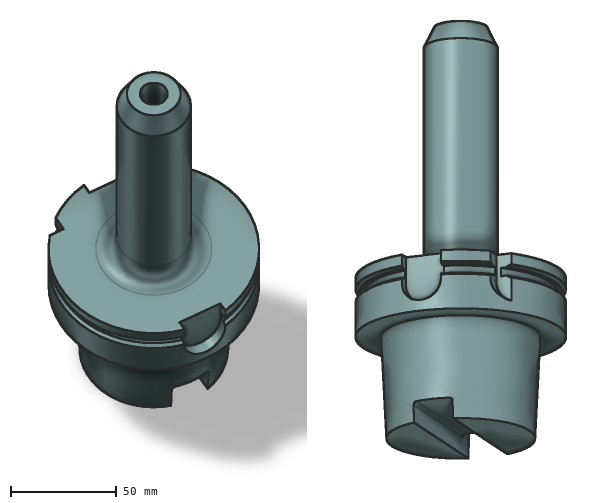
import cadquery as cq

TOTAL_HEIGHT = 202.5

SHANK_HEIGHT = 50.0
SHANK_TOP_RADIUS = 37.8
SHANK_TAPER = 0.05

FLANGE_RADIUS = 50.0
FLANGE_THICKNESS = 29.0
FLANGE_TOP = SHANK_HEIGHT + FLANGE_THICKNESS

GROOVE_RADIUS = 46.0
GROOVE_LOWER_EDGE = 67.0
GROOVE_UPPER_EDGE = 73.5
GROOVE_BEVEL_RADIUS = 48.0
GROOVE_BEVEL_HEIGHT = 1.2

NOSE_RADIUS = 17.6
NOSE_FILLET = 10.0
TIP_RADIUS = 12.8
TIP_HEIGHT = 10.0
BORE_RADIUS = 6.5
BORE_DEPTH = 40.5

RIM_SLOT_BOTTOM = 55.3
RIM_SLOT_FLOOR = 44.0
NARROW_SLOT_WIDTH = 20.0
WIDE_SLOT_WIDTH = 22.3
CORNER_NOTCH_OFFSET = 31.4

DRIVE_SLOT_WIDTH = 20.0
DRIVE_SLOT_DEPTH = 10.1
DEEP_SLOT_DEPTH = 15.5
DEEP_SLOT_FLOOR = 26.3
DRIVE_SLOT_FILLET = 1.8


def turned_body():
    """Shank, grooved flange and nose revolved about Z."""
    shank_bottom_radius = SHANK_TOP_RADIUS - SHANK_TAPER * SHANK_HEIGHT
    return (
        cq.Workplane("XZ")
        .lineTo(shank_bottom_radius, 0)
        .lineTo(SHANK_TOP_RADIUS, SHANK_HEIGHT)
        .lineTo(FLANGE_RADIUS, SHANK_HEIGHT)
        .lineTo(FLANGE_RADIUS, GROOVE_LOWER_EDGE)
        .lineTo(GROOVE_BEVEL_RADIUS, GROOVE_LOWER_EDGE + GROOVE_BEVEL_HEIGHT)
        .lineTo(GROOVE_RADIUS, GROOVE_LOWER_EDGE + GROOVE_BEVEL_HEIGHT)
        .lineTo(GROOVE_RADIUS, GROOVE_UPPER_EDGE - GROOVE_BEVEL_HEIGHT)
        .lineTo(GROOVE_BEVEL_RADIUS, GROOVE_UPPER_EDGE - GROOVE_BEVEL_HEIGHT)
        .lineTo(FLANGE_RADIUS, GROOVE_UPPER_EDGE)
        .lineTo(FLANGE_RADIUS, FLANGE_TOP)
        .lineTo(NOSE_RADIUS + NOSE_FILLET, FLANGE_TOP)
        .radiusArc((NOSE_RADIUS, FLANGE_TOP + NOSE_FILLET), NOSE_FILLET)
        .lineTo(NOSE_RADIUS, TOTAL_HEIGHT - TIP_HEIGHT)
        .lineTo(TIP_RADIUS, TOTAL_HEIGHT)
        .lineTo(0, TOTAL_HEIGHT)
        .close()
        .revolve(360, (0, 0, 0), (0, 1, 0))
    )


def rim_slot(width, center_y, floor, side):
    """Cutter open at the top and round below, from the floor out to the rim; side is -1 or 1 along X."""
    radius = width / 2
    center_z = RIM_SLOT_BOTTOM + radius
    return (
        cq.Workplane("YZ", origin=(side * floor, 0, 0))
        .moveTo(center_y - radius, FLANGE_TOP)
        .lineTo(center_y - radius, center_z)
        .threePointArc((center_y, RIM_SLOT_BOTTOM), (center_y + radius, center_z))
        .lineTo(center_y + radius, FLANGE_TOP)
        .close()
        .extrude(side * FLANGE_RADIUS)
    )


def drive_slot(depth, start_x):
    """Cutter for the small end, from start_x out past the +X side, with rounded inner corners."""
    return (
        cq.Workplane("XY")
        .box(FLANGE_RADIUS - start_x, DRIVE_SLOT_WIDTH, depth, centered=(False, True, False))
        .edges("|X and >Z")
        .fillet(DRIVE_SLOT_FILLET)
        .translate((start_x, 0, 0))
    )


bore = cq.Workplane("XY", origin=(0, 0, TOTAL_HEIGHT)).circle(BORE_RADIUS).extrude(-BORE_DEPTH)
corner_notch_y = -(CORNER_NOTCH_OFFSET + NARROW_SLOT_WIDTH / 2)

result = (
    turned_body()
    .cut(bore)
    .cut(rim_slot(NARROW_SLOT_WIDTH, 0, RIM_SLOT_FLOOR, -1))
    .cut(rim_slot(WIDE_SLOT_WIDTH, 0, RIM_SLOT_FLOOR, 1))
    .cut(rim_slot(NARROW_SLOT_WIDTH, corner_notch_y, CORNER_NOTCH_OFFSET, -1))
    .cut(drive_slot(DRIVE_SLOT_DEPTH, -FLANGE_RADIUS))
    .cut(drive_slot(DEEP_SLOT_DEPTH, DEEP_SLOT_FLOOR))
)